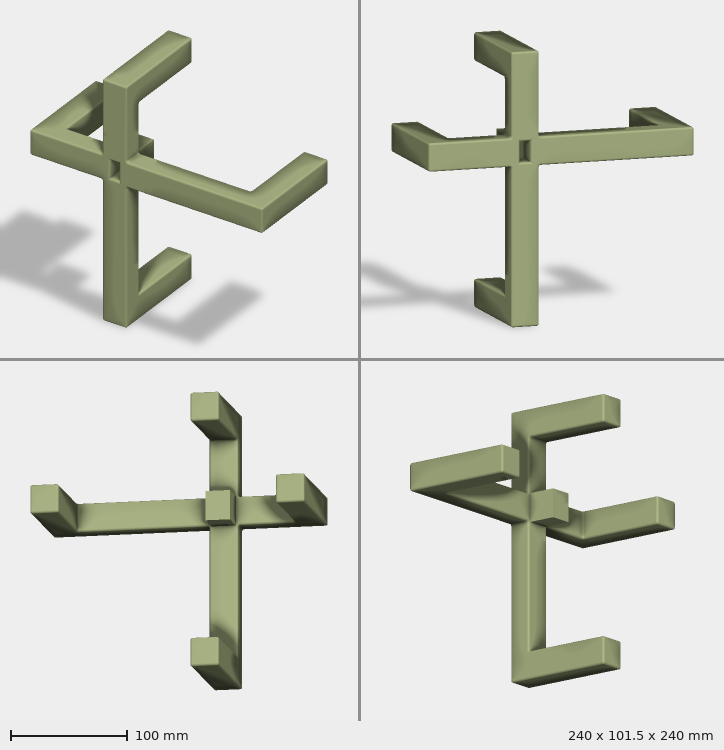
import cadquery as cq

SPAN = 240.0
DEPTH = 101.5
ARM_WIDTH = 25.0
BAR_DEPTH = 20.0
SHORT_REACH = 87.4
LONG_REACH = SPAN - SHORT_REACH
EDGE_RADIUS = 2.0

HUB_WIDTH = 21.4
HUB_HEIGHT = 25.7
HUB_DEPTH = 45.0
POCKET_WIDTH = 9.8
POCKET_HEIGHT = 18.5
POCKET_DEPTH = BAR_DEPTH
MOUTH_RADIUS = 2.0

HALF_ARM = ARM_WIDTH / 2
SHORT_INSIDE = SHORT_REACH - ARM_WIDTH
LONG_INSIDE = LONG_REACH - ARM_WIDTH
BAR_MIDDLE = BAR_DEPTH / 2
PICK_DISTANCE = 0.02


def box(x_range, y_range, z_range):
    """Block that fills the given (low, high) ranges."""
    ranges = (x_range, y_range, z_range)
    sizes = [high - low for low, high in ranges]
    lowest_corner = tuple(low for low, high in ranges)
    return cq.Workplane("XY").box(*sizes, centered=False).translate(lowest_corner)


def is_centred_at(edge, point):
    return (edge.Center() - cq.Vector(*point)).Length < PICK_DISTANCE


def crossed_bars():
    """The level and the upright U, with all edges still sharp."""
    across = (-HALF_ARM, HALF_ARM)
    full_depth = (0, DEPTH)
    behind_bar = (BAR_DEPTH, DEPTH)
    level = box((-SHORT_REACH, LONG_REACH), full_depth, across)
    level = level.cut(box((-SHORT_INSIDE, LONG_INSIDE), behind_bar, across))
    upright = box(across, full_depth, (-LONG_REACH, SHORT_REACH))
    upright = upright.cut(box(across, behind_bar, (-LONG_INSIDE, SHORT_INSIDE)))
    return level.union(upright)


def round_edges(bars):
    """Round the inner corners, then every other edge; the inner corner of the bottom leg stays sharp."""
    crossing_corners = [(x, BAR_MIDDLE, z) for x in (-HALF_ARM, HALF_ARM) for z in (-HALF_ARM, HALF_ARM)]
    leg_corners = [(-SHORT_INSIDE, BAR_DEPTH, 0), (LONG_INSIDE, BAR_DEPTH, 0), (0, BAR_DEPTH, SHORT_INSIDE)]
    bottom_corner = (0, BAR_DEPTH, -LONG_INSIDE)

    for corner in crossing_corners + leg_corners:
        picked = [edge for edge in bars.edges().vals() if is_centred_at(edge, corner)]
        bars = bars.newObject(picked).fillet(EDGE_RADIUS)

    outer_edges = [edge for edge in bars.edges().vals() if not is_centred_at(edge, bottom_corner)]
    return bars.newObject(outer_edges).fillet(EDGE_RADIUS)


def hub_block():
    """Sharp-edged block that stands out behind the crossing."""
    half_width = HUB_WIDTH / 2
    half_height = HUB_HEIGHT / 2
    return box((-half_width, half_width), (BAR_DEPTH, HUB_DEPTH), (-half_height, half_height))


def cut_pocket(body):
    """Cut the blind rectangular pocket and round its mouth."""
    half_width = POCKET_WIDTH / 2
    half_height = POCKET_HEIGHT / 2
    body = body.cut(box((-half_width, half_width), (0, POCKET_DEPTH), (-half_height, half_height)))
    mouth_sides = [(-half_width, 0, 0), (half_width, 0, 0), (0, 0, -half_height), (0, 0, half_height)]
    mouth = [edge for edge in body.edges().vals() if any(is_centred_at(edge, side) for side in mouth_sides)]
    return body.newObject(mouth).fillet(MOUTH_RADIUS)


result = cut_pocket(round_edges(crossed_bars()).union(hub_block()))